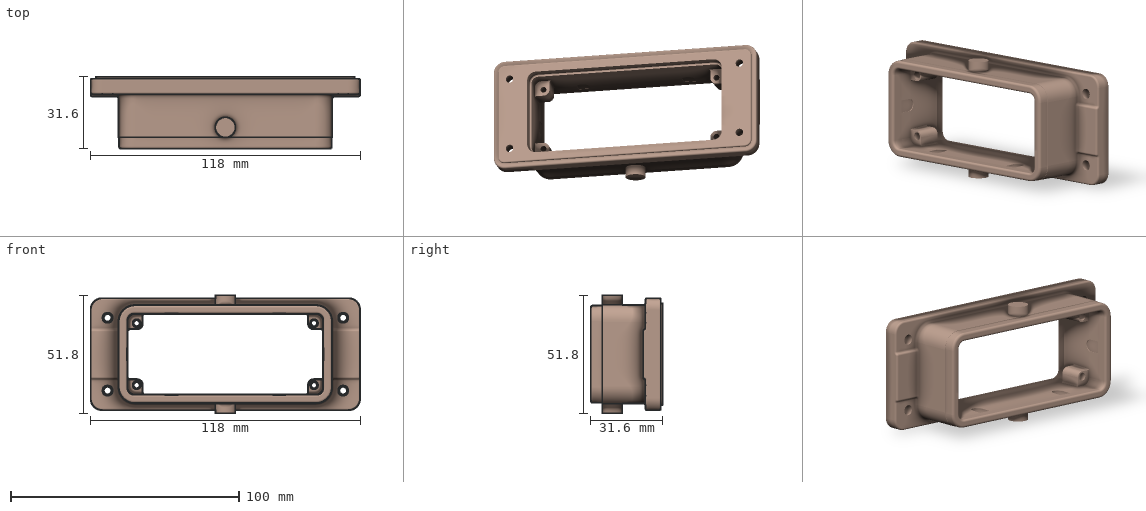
import cadquery as cq
length = 118.0
flange_height = 49.1
flange_corner = 5.1
flange_front = 7.7
flange_rear_round = 0.7
flange_front_round = 0.8

lip_inset = 2.2
lip_depth = 1.0
lip_round = 0.5

pad_height = 21.6
pad_front = 8.7
pad_ramp_width = 1.7

collar_length = 93.7
collar_height = 43.2
collar_corner = 7.4
collar_depth = 26.7
collar_base_round = 1.0
rim_inset = 0.2
rim_corner = 6.8
rim_round = 1.1
total_depth = 31.6

window_length = 85.4
window_height = 35.2
window_corner = 3.0
mouth_widening = 0.2
mouth_round = 1.0
ramp_depth = 21.0
recess_depth = 4.5
recess_widening = 1.0

boss_hole_x = 38.8
boss_hole_z = 13.6
boss_hole = 3.5
boss_hole_rear = 2.6
boss_draft = 1.5
boss_radius = 2.7
boss_root_round = 0.7
boss_rear = 11.0
boss_overlap = 1.2

mount_spacing_x = 103.1
mount_spacing_z = 31.9
mount_hole = 4.5
mount_hole_rear = 3.3

pin_diameter = 8.8
pin_span = 51.8

notch_width = 5.4
notch_spacing = 47.2
notch_rear = 19.4
notch_deepening = 0.4

pick_margin = 0.1
mouth_pick_margin = 1.2


def at_depth(depth):
    """Plane facing -Y at the given depth, with local axes X and Z."""
    return cq.Workplane("XZ", origin=(0, -depth, 0))


def rounded_block(start, end, size_x, size_z, corner):
    """Rectangular block with rounded corners between two depths."""
    block = at_depth(start).rect(size_x, size_z).extrude(end - start)
    return block.edges("|Y").fillet(corner)


def window_block(start, end, widening):
    """Stretch of the window, widened on every side."""
    size_x = window_length + 2 * widening
    size_z = window_height + 2 * widening
    return rounded_block(start, end, size_x, size_z, window_corner + widening)


def edge_box(start, end, size_x, size_z, margin):
    """Selector for edges inside a centred box between two depths."""
    reach_x = size_x / 2 + margin
    reach_z = size_z / 2 + margin
    return cq.selectors.BoxSelector(
        (-reach_x, -end - pick_margin, -reach_z),
        (reach_x, -start + pick_margin, reach_z),
    )


def make_flange():
    """Plate whose front rises to the pads over a ramp of two tangent arcs."""
    ramp_start = (pad_height + pad_ramp_width) / 2
    ramp_end = (pad_height - pad_ramp_width) / 2
    ramp_middle_depth = (flange_front + pad_front) / 2
    half_height = flange_height / 2
    profile = (
        cq.Workplane("YZ", origin=(-length / 2, 0, 0))
        .moveTo(-lip_depth, -half_height)
        .lineTo(-flange_front, -half_height)
        .lineTo(-flange_front, -ramp_start)
        .tangentArcPoint((-ramp_middle_depth, -pad_height / 2), relative=False)
        .tangentArcPoint((-pad_front, -ramp_end), relative=False)
        .lineTo(-pad_front, ramp_end)
        .tangentArcPoint((-ramp_middle_depth, pad_height / 2), relative=False)
        .tangentArcPoint((-flange_front, ramp_start), relative=False)
        .lineTo(-flange_front, half_height)
        .lineTo(-lip_depth, half_height)
        .close()
    )
    flange = profile.extrude(length).edges("|Y").fillet(flange_corner)
    flange = flange.faces(">Y").edges().fillet(flange_rear_round)
    return flange.faces("<Z").edges("<Y").fillet(flange_front_round)


def make_lip():
    """Rounded seal lip, reaching into the flange so that the two join."""
    lip_length = length - 2 * lip_inset
    lip_height = flange_height - 2 * lip_inset
    lip = rounded_block(0, flange_front, lip_length, lip_height, flange_corner - lip_inset)
    return lip.faces(">Y").edges().fillet(lip_round)


def make_rim():
    """Front end of the collar, slightly smaller and rounded outside."""
    rim_length = collar_length - 2 * rim_inset
    rim_height = collar_height - 2 * rim_inset
    rim = rounded_block(flange_front, total_depth, rim_length, rim_height, rim_corner)
    return rim.faces("<Y").edges().fillet(rim_round)


def make_pins():
    """Bar across the collar whose ends are the two locking pins."""
    pin_depth = collar_depth - pin_diameter / 2
    plane = cq.Workplane("XY", origin=(0, -pin_depth, -pin_span / 2))
    return plane.circle(pin_diameter / 2).extrude(pin_span)


def make_window():
    """Cutter with a rear recess, a straight throat, a ramp and a wider mouth."""
    ramp_length = collar_depth - ramp_depth
    throat = cq.Sketch().rect(window_length, window_height).vertices().fillet(window_corner)
    mouth = (
        cq.Sketch()
        .rect(window_length + 2 * mouth_widening, window_height + 2 * mouth_widening)
        .vertices()
        .fillet(window_corner + mouth_widening)
    )
    ramp = (
        at_depth(ramp_depth)
        .placeSketch(throat, mouth.moved(cq.Location(cq.Vector(0, 0, ramp_length))))
        .loft()
    )
    return (
        window_block(0, recess_depth, recess_widening)
        .union(window_block(0, ramp_depth, 0))
        .union(ramp)
        .union(window_block(collar_depth, total_depth, mouth_widening))
    )


def make_notches():
    """Cutters across the window, two between the long walls and one between the ends."""
    across_z = window_height + 2 * notch_deepening
    across_x = window_length + 2 * notch_deepening
    slot_length = 2 * (collar_depth - notch_rear)
    centers = [(-notch_spacing / 2, -collar_depth), (notch_spacing / 2, -collar_depth)]
    upright = (
        cq.Workplane("XY", origin=(0, 0, -across_z / 2))
        .pushPoints(centers)
        .slot2D(slot_length, notch_width, 90)
        .extrude(across_z)
    )
    level = (
        cq.Workplane("YZ", origin=(-across_x / 2, 0, 0))
        .center(-collar_depth, 0)
        .slot2D(slot_length, notch_width)
        .extrude(across_x)
    )
    keep = at_depth(0).rect(length, flange_height).extrude(collar_depth)
    return upright.union(level).intersect(keep)


def tapered_holes(start, end, start_diameter, end_diameter, centers):
    """Round cutters between two depths that change diameter evenly."""
    axis = cq.Vector(0, -1, 0)
    cutters = cq.Workplane("XY")
    for x, z in centers:
        foot = cq.Vector(x, -start, z)
        cone = cq.Solid.makeCone(start_diameter / 2, end_diameter / 2, end - start, foot, axis)
        cutters = cutters.add(cone)
    return cutters.combine()


def make_bosses():
    """One drafted boss per window corner, blended into both walls."""
    wall_x = window_length / 2
    wall_z = window_height / 2
    face_x = boss_hole_x - boss_radius
    face_z = boss_hole_z - boss_radius
    boss = (
        at_depth(boss_rear)
        .moveTo(wall_x, face_z - boss_root_round)
        .radiusArc((wall_x - boss_root_round, face_z), -boss_root_round)
        .lineTo(boss_hole_x, face_z)
        .radiusArc((face_x, boss_hole_z), boss_radius)
        .lineTo(face_x, wall_z - boss_root_round)
        .radiusArc((face_x - boss_root_round, wall_z), -boss_root_round)
        .lineTo(face_x - boss_root_round, wall_z + boss_overlap)
        .lineTo(wall_x + boss_overlap, wall_z + boss_overlap)
        .lineTo(wall_x + boss_overlap, face_z - boss_root_round)
        .close()
        .extrude(ramp_depth - boss_rear, taper=boss_draft)
    )
    hole_center = [(boss_hole_x, boss_hole_z)]
    boss = boss.cut(tapered_holes(boss_rear, ramp_depth, boss_hole_rear, boss_hole, hole_center))
    pair = boss.union(boss.mirror("YZ"))
    return pair.union(pair.mirror("XY"))


def make_mount_holes():
    """Tapered holes through the four flange corners."""
    reach_x = mount_spacing_x / 2
    reach_z = mount_spacing_z / 2
    centers = [(x, z) for x in (-reach_x, reach_x) for z in (-reach_z, reach_z)]
    return tapered_holes(0, flange_front, mount_hole_rear, mount_hole, centers)


collar = rounded_block(flange_front, collar_depth, collar_length, collar_height, collar_corner)
body = make_flange().union(collar)
base_edges = edge_box(flange_front, pad_front, collar_length, collar_height, pick_margin)
body = body.edges(base_edges).fillet(collar_base_round)
body = body.union(make_lip()).union(make_rim()).union(make_pins())

body = body.cut(make_window())
mouth_edges = edge_box(total_depth, total_depth, window_length, window_height, mouth_pick_margin)
body = body.edges(mouth_edges).fillet(mouth_round)

result = body.cut(make_notches()).union(make_bosses()).cut(make_mount_holes())